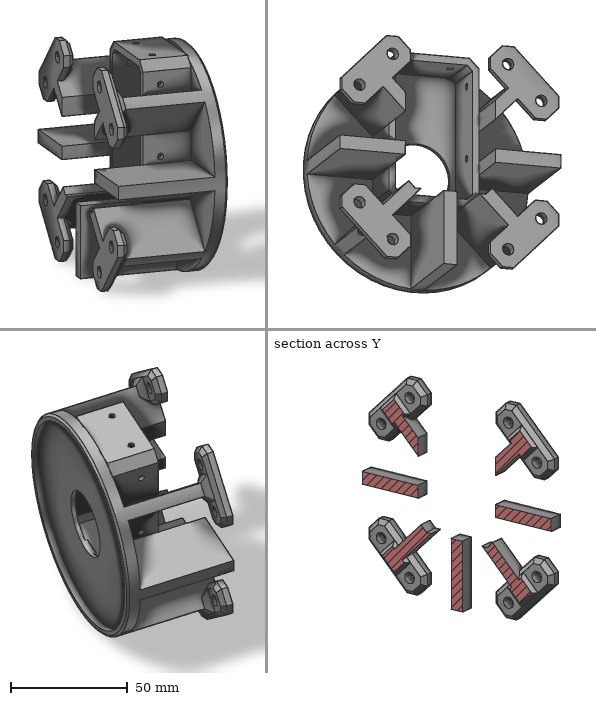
import cadquery as cq

length = 50.0
disc_radius = 50.0
disc_thickness = 6.0
disc_edge_bevel = 1.0
bore_radius = 15.0
disc_front = length - disc_thickness

box_front = 22.0
box_width = 40.8
box_top = 48.5
box_bottom = -17.5
box_corner = 4.4
side_wall = 3.0
end_wall = 3.2
cavity_width = box_width - 2 * side_wall
cavity_top = box_top - end_wall
cavity_bottom = box_bottom + end_wall
cavity_corner = 2.4

recess_radius = 47.0
inner_recess_depth = 1.0
outer_recess_depth = 3.0

screw_diameter = 2.7
screw_y = 30.0
top_screw_x = 10.0
side_screw_z = (6.0, 38.0)

rib_thickness = 6.0
straight_rib_angles = (0, 180, 270)
diagonal_angles = (45, 135, 225, 315)

foot_inner = 40.0
foot_outer = 55.0
foot_width = 36.0
foot_corner = 3.7
foot_thickness = 5.0
foot_bevel = 2.1
foot_hole_diameter = 5.0
foot_hole_radial = 47.5
foot_hole_spacing = 21.2
gusset_inner = 45.0
gusset_outer = disc_radius
gusset_height = 3.0
gusset_slope = 45


def plane_at(y):
    """XZ plane at the given y, whose extrusions grow towards +Y; its local y axis is -Z."""
    return cq.Workplane(cq.Plane(origin=(0, y, 0), xDir=(1, 0, 0), normal=(0, 1, 0)))


def rectangular_prism(x_min, x_max, z_min, z_max, y_min, y_max, corner=0.0):
    """Prism along Y with optionally bevelled corners."""
    size = (x_max - x_min, y_max - y_min, z_max - z_min)
    prism = cq.Workplane("XY").box(*size, centered=False).translate((x_min, y_min, z_min))
    return prism.edges("|Y").chamfer(corner) if corner else prism


def around_axis(shape, angle):
    return shape.rotate((0, 0, 0), (0, 1, 0), -angle)


def make_disc():
    disc = plane_at(disc_front).circle(disc_radius).extrude(disc_thickness)
    return disc.faces(">Y").edges().chamfer(disc_edge_bevel)


def make_box_outline(y_min):
    half = box_width / 2
    return rectangular_prism(-half, half, box_bottom, box_top, y_min, disc_front, box_corner)


def make_cavity(y_max):
    half = cavity_width / 2
    return rectangular_prism(-half, half, cavity_bottom, cavity_top, 0, y_max, cavity_corner)


def make_rib():
    half = rib_thickness / 2
    blank = rectangular_prism(0, disc_radius, -half, half, 0, disc_front)
    return blank.intersect(plane_at(0).circle(disc_radius).extrude(length))


def make_foot():
    half_width = foot_width / 2
    pad = rectangular_prism(
        foot_inner, foot_outer, -half_width, half_width, 0, foot_thickness, foot_corner
    )
    pad = pad.faces(">Y").chamfer(foot_bevel)
    gusset_length = gusset_outer - gusset_inner
    gusset_middle = (gusset_inner + gusset_outer) / 2
    gusset = (
        plane_at(foot_thickness)
        .center(gusset_middle, 0)
        .rect(gusset_length + 2 * gusset_height, rib_thickness + 2 * gusset_height)
        .extrude(gusset_height, taper=gusset_slope)
    )
    return pad.union(gusset)


def make_foot_holes():
    half = foot_hole_spacing / 2
    return (
        plane_at(0)
        .pushPoints([(foot_hole_radial, -half), (foot_hole_radial, half)])
        .circle(foot_hole_diameter / 2)
        .extrude(foot_thickness)
    )


def make_screw_holes():
    vertical = (
        cq.Workplane("XY", origin=(0, 0, box_bottom))
        .pushPoints([(-top_screw_x, screw_y), (top_screw_x, screw_y)])
        .circle(screw_diameter / 2)
        .extrude(box_top - box_bottom)
    )
    sideways = (
        cq.Workplane("YZ", origin=(-box_width / 2, 0, 0))
        .pushPoints([(screw_y, z) for z in side_screw_z])
        .circle(screw_diameter / 2)
        .extrude(box_width)
    )
    return vertical.union(sideways)


frame = make_disc()
for angle in straight_rib_angles + diagonal_angles:
    frame = frame.union(around_axis(make_rib(), angle))
frame = frame.cut(make_box_outline(0))
for angle in diagonal_angles:
    frame = frame.union(around_axis(make_foot(), angle))
    frame = frame.cut(around_axis(make_foot_holes(), angle))

bore = plane_at(disc_front).circle(bore_radius).extrude(disc_thickness)
inner_recess = plane_at(disc_front).circle(recess_radius).extrude(inner_recess_depth)
inner_recess = inner_recess.intersect(make_cavity(length))
outer_recess = plane_at(length).circle(recess_radius).extrude(-outer_recess_depth)
box = make_box_outline(box_front).cut(make_cavity(disc_front)).cut(make_screw_holes())
result = frame.cut(bore).cut(inner_recess).cut(outer_recess).union(box)